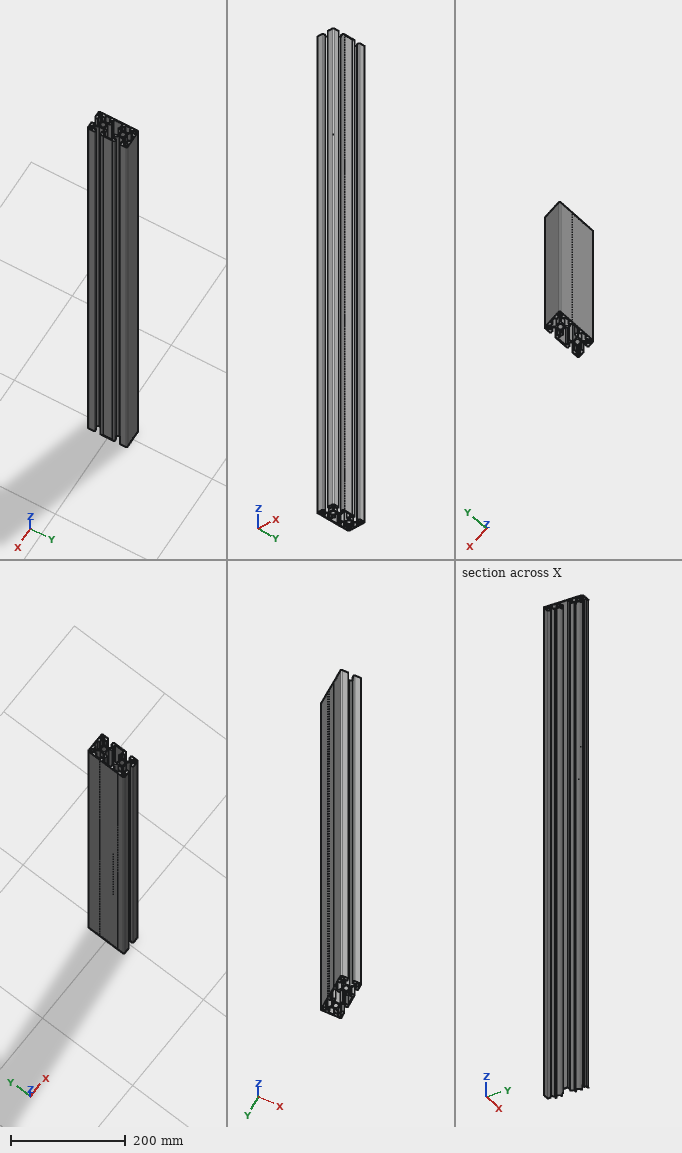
import cadquery as cq

MODULE = 40.0
LENGTH = 1000.0
HALF = MODULE / 2
CORNER_RADIUS = 2.3

SLOT_OPENING = 10.5
LIP_RADIUS = 1.4
LIP_DEPTH = 5.5
LIP_HOOK = 0.5
SLOT_WIDTH = 20.0
SLOT_SIDE = 3.5
SLOT_DEPTH = 13.7
SLOT_FLOOR_WIDTH = 7.7
FLOOR_RISE = 0.9
COVER_WALL = 1.9

BORE_DIAMETER = 10.0
POCKET_INNER = 12.0
POCKET_OUTER = 17.3

SIDE_WALL = 1.8
HOLLOW_SIDE_Y = 9.0
HOLLOW_STEP_X = 12.0
WEB_TIP = (7.0, 7.0)
CORE_WALL = 1.3
HOLLOW_ROOF_HALF = 5.3


def slot(module_y, angle, covered):
    """T-slot cutter facing +X, turned by angle about the module axis."""
    lip_root = HALF - LIP_DEPTH
    lip_tip = lip_root - LIP_HOOK
    side_end = lip_root - SLOT_SIDE
    floor = HALF - SLOT_DEPTH
    opening_half = SLOT_OPENING / 2
    wide_half = SLOT_WIDTH / 2
    floor_half = SLOT_FLOOR_WIDTH / 2

    outline = (
        cq.Workplane("XY")
        .moveTo(floor, -floor_half)
        .threePointArc((floor + FLOOR_RISE, 0), (floor, floor_half))
        .lineTo(side_end, wide_half)
        .lineTo(lip_root, wide_half)
        .lineTo(lip_tip, opening_half)
    )
    if covered:
        mouth = HALF - COVER_WALL
        outline = outline.lineTo(mouth, opening_half).lineTo(mouth, -opening_half)
    else:
        round_start = HALF - LIP_RADIUS
        flare_half = opening_half + LIP_RADIUS
        outline = (
            outline.lineTo(round_start, opening_half)
            .radiusArc((HALF, flare_half), -LIP_RADIUS)
            .lineTo(HALF, -flare_half)
            .radiusArc((round_start, -opening_half), -LIP_RADIUS)
        )
    cutter = (
        outline.lineTo(lip_tip, -opening_half)
        .lineTo(lip_root, -wide_half)
        .lineTo(side_end, -wide_half)
        .close()
        .extrude(LENGTH)
    )
    return cutter.rotate((0, 0, 0), (0, 0, 1), angle).translate((0, module_y, 0))


def bore(module_y):
    """Round hole along the axis of a module."""
    return cq.Workplane("XY").center(0, module_y).circle(BORE_DIAMETER / 2).extrude(LENGTH)


def corner_pocket(side_x, side_y):
    """Square hollow in one outer corner of the profile."""
    size = POCKET_OUTER - POCKET_INNER
    offset = (POCKET_OUTER + POCKET_INNER) / 2
    return (
        cq.Workplane("XY")
        .center(side_x * offset, side_y * (HALF + offset))
        .rect(size, size)
        .extrude(LENGTH)
    )


def centre_hollow():
    """Hollow between the two modules, with a pointed web in each quarter."""
    roof_y = HALF - BORE_DIAMETER / 2 - CORE_WALL
    quarter = [
        (HOLLOW_ROOF_HALF, roof_y),
        WEB_TIP,
        (HOLLOW_STEP_X, HOLLOW_SIDE_Y),
        (HALF - SIDE_WALL, HOLLOW_SIDE_Y),
    ]
    right = quarter + [(x, -y) for x, y in reversed(quarter)]
    left = [(-x, -y) for x, y in right]
    return cq.Workplane("XY").polyline(right + left).close().extrude(LENGTH)


result = (
    cq.Workplane("XY")
    .rect(MODULE, 2 * MODULE)
    .extrude(LENGTH)
    .edges("|Z")
    .fillet(CORNER_RADIUS)
)

for module_y in (-HALF, HALF):
    result = result.cut(bore(module_y))
    result = result.cut(slot(module_y, 0, covered=False))
    result = result.cut(slot(module_y, 180, covered=True))

result = result.cut(slot(HALF, 90, covered=True))
result = result.cut(slot(-HALF, -90, covered=False))

for side_x in (-1, 1):
    for side_y in (-1, 1):
        result = result.cut(corner_pocket(side_x, side_y))

result = result.cut(centre_hollow())